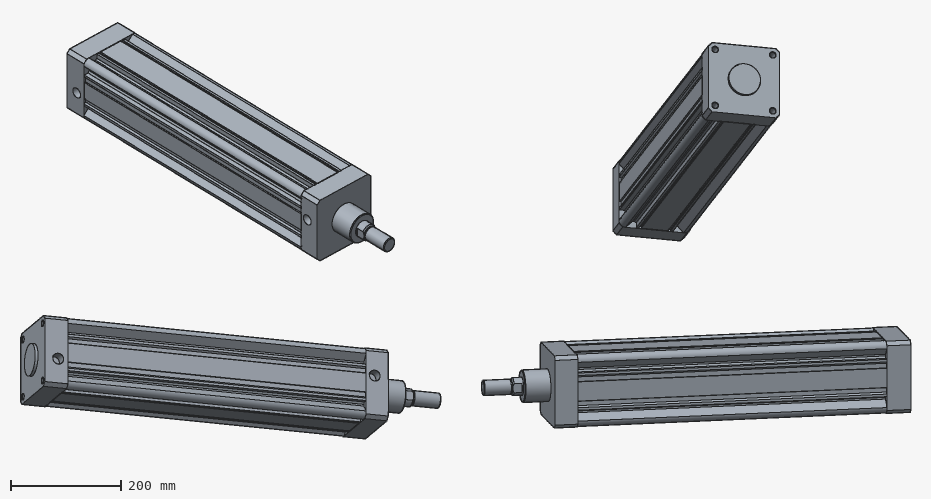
import cadquery as cq

TOTAL_LENGTH = 785.0
REAR_CAP_START = 5.5
REAR_CAP_LENGTH = 45.0
BARREL_START = REAR_CAP_START + REAR_CAP_LENGTH
BARREL_LENGTH = 572.0
FRONT_CAP_START = BARREL_START + BARREL_LENGTH
FRONT_CAP_LENGTH = 42.0
COLLAR_START = FRONT_CAP_START + FRONT_CAP_LENGTH
COLLAR_LENGTH = 48.0
COLLAR_END = COLLAR_START + COLLAR_LENGTH

CAP_WIDTH = 134.0
HALF_WIDTH = CAP_WIDTH / 2
CAP_CHAMFER = 7.0
BOSS_RADIUS = 30.0
COLLAR_CHAMFER = 1.5
SCREW_OFFSET = 54.0
SCREW_HOLE_RADIUS = 5.5
SCREW_MOUTH_CHAMFER = 1.0
SCREW_HOLE_DEPTH = 23.5
PORT_RADIUS = 10.0
PORT_DEPTH = 23.5
PORT_OFFSET = 14.0
REAR_PORT_X = 31.5
FRONT_PORT_X = 639.0

CORNER_RADIUS = 12.5
SIDE_HEIGHT = 66.0
FLANK_OUTER = HALF_WIDTH - CORNER_RADIUS
GROOVE_FLOOR_OUTER = 41.5
GROOVE_FLOOR_INNER = 38.5
GROOVE_FLOOR_HEIGHT = HALF_WIDTH - (FLANK_OUTER - GROOVE_FLOOR_OUTER)
LIP_OUTER = 34.5
LIP_INNER = 30.0
LIP_FOOT_HEIGHT = 56.5
SLOT_DEPTH = 3.0
WIDE_PANEL_HALF = 25.0
NARROW_PANEL_HALF = 18.0
CUT_MARGIN = 4.0

ROD_RADIUS = 16.5
TIP_RADIUS = 14.0
FLATS_START = COLLAR_END + 2.0
SHOULDER_X = 732.5
NECK_RADIUS = 13.0
NECK_LENGTH = 2.0
SHOULDER_CHAMFER = ROD_RADIUS - TIP_RADIUS
TIP_CHAMFER = 1.5


def axial_cylinder(start, length, radius):
    """Cylinder on the X axis."""
    return cq.Workplane("YZ", origin=(start, 0, 0)).circle(radius).extrude(length)


def cap_block(start, length):
    """Square block with chamfered long edges."""
    block = cq.Workplane("YZ", origin=(start, 0, 0)).rect(CAP_WIDTH, CAP_WIDTH).extrude(length)
    return block.edges("|X").chamfer(CAP_CHAMFER)


def port(x, z):
    """Blind port entering from the -Y side."""
    return cq.Workplane("XZ", origin=(x, -HALF_WIDTH, z)).circle(PORT_RADIUS).extrude(-PORT_DEPTH)


def make_rear_cap():
    screw_holes = (
        cq.Workplane("YZ", origin=(REAR_CAP_START, 0, 0))
        .rect(2 * SCREW_OFFSET, 2 * SCREW_OFFSET, forConstruction=True)
        .vertices()
        .circle(SCREW_HOLE_RADIUS)
        .extrude(SCREW_HOLE_DEPTH)
    )
    drilled_block = cap_block(REAR_CAP_START, REAR_CAP_LENGTH).cut(screw_holes)
    return (
        drilled_block.faces("<X")
        .edges("%CIRCLE")
        .chamfer(SCREW_MOUTH_CHAMFER)
        .union(axial_cylinder(0, REAR_CAP_START, BOSS_RADIUS))
        .cut(port(REAR_PORT_X, -PORT_OFFSET))
    )


def make_front_cap():
    collar = axial_cylinder(COLLAR_START, COLLAR_LENGTH, BOSS_RADIUS).faces(">X").chamfer(COLLAR_CHAMFER)
    rod_bore = axial_cylinder(FRONT_CAP_START, COLLAR_END - FRONT_CAP_START, ROD_RADIUS)
    return (
        cap_block(FRONT_CAP_START, FRONT_CAP_LENGTH)
        .union(collar)
        .cut(rod_bore)
        .cut(port(FRONT_PORT_X, PORT_OFFSET))
    )


def side_relief(panel_half, slot_floor_outer):
    """Material removed above one side: two flared grooves, two shallow slots and the panel between them."""
    slot_floor = SIDE_HEIGHT - SLOT_DEPTH
    over = HALF_WIDTH + CUT_MARGIN
    half = [
        (panel_half, SIDE_HEIGHT),
        (panel_half, slot_floor),
        (slot_floor_outer, slot_floor),
        (LIP_INNER, SIDE_HEIGHT),
        (LIP_OUTER, SIDE_HEIGHT),
        (LIP_OUTER, LIP_FOOT_HEIGHT),
        (GROOVE_FLOOR_INNER, GROOVE_FLOOR_HEIGHT),
        (GROOVE_FLOOR_OUTER, GROOVE_FLOOR_HEIGHT),
        (FLANK_OUTER, HALF_WIDTH),
        (FLANK_OUTER, over),
    ]
    mirrored = [(-across, height) for across, height in reversed(half)]
    return cq.Workplane("YZ", origin=(BARREL_START, 0, 0)).polyline(half + mirrored).close().extrude(BARREL_LENGTH)


def make_barrel():
    barrel = (
        cq.Workplane("YZ", origin=(BARREL_START, 0, 0))
        .rect(CAP_WIDTH, CAP_WIDTH)
        .extrude(BARREL_LENGTH)
        .edges("|X")
        .fillet(CORNER_RADIUS)
    )
    wide_relief = side_relief(WIDE_PANEL_HALF, LIP_INNER)
    narrow_relief = side_relief(NARROW_PANEL_HALF, LIP_INNER - SLOT_DEPTH)
    for relief, angles in ((wide_relief, (0, 180)), (narrow_relief, (90, 270))):
        for angle in angles:
            barrel = barrel.cut(relief.rotate((0, 0, 0), (1, 0, 0), angle))
    return barrel


def make_rod():
    shank = axial_cylinder(FRONT_CAP_START, SHOULDER_X - FRONT_CAP_START, ROD_RADIUS)
    shank = shank.faces(">X").chamfer(SHOULDER_CHAMFER)
    neck = axial_cylinder(SHOULDER_X, NECK_LENGTH, NECK_RADIUS)
    tip_start = SHOULDER_X + NECK_LENGTH
    tip = axial_cylinder(tip_start, TOTAL_LENGTH - tip_start, TIP_RADIUS).faces(">X").chamfer(TIP_CHAMFER)
    flats_length = SHOULDER_X - FLATS_START
    for side in (1, -1):
        waste = cq.Workplane("XY").box(flats_length, ROD_RADIUS, 2 * ROD_RADIUS, centered=(False, True, True))
        shank = shank.cut(waste.translate((FLATS_START, side * (TIP_RADIUS + ROD_RADIUS / 2), 0)))
    return shank.union(neck).union(tip)


rear_cap = make_rear_cap()
barrel = make_barrel()
front_cap = make_front_cap()
rod = make_rod()

result = cq.Compound.makeCompound([rear_cap.val(), barrel.val(), front_cap.val(), rod.val()])